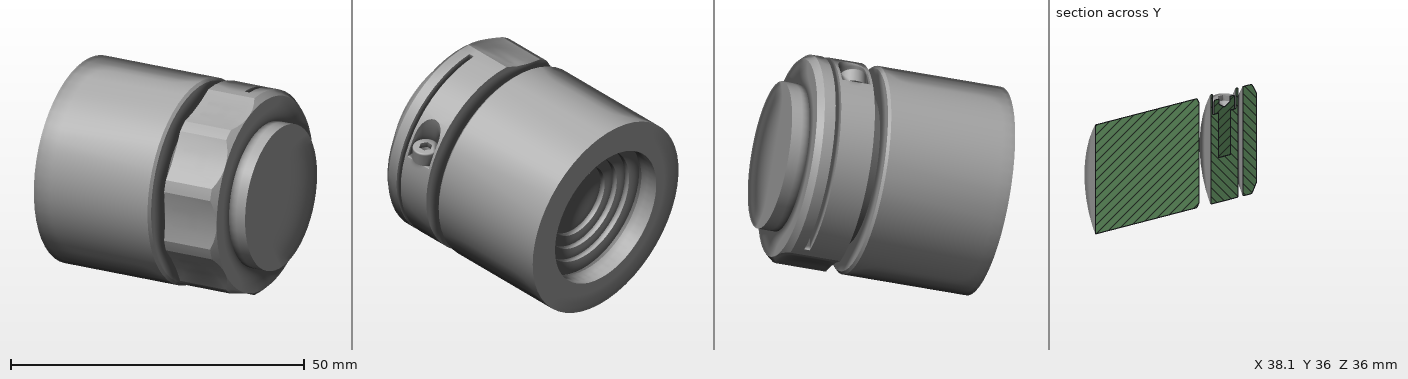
import cadquery as cq
import math


overall_length = 38.1
barrel_radius = 17.998
barrel_length = 22.5
barrel_chamfer = 0.45
neck_radius = 13.0
spigot_radius = 12.72

mouth_radius = 12.5
undercut_radius = 13.0
undercut_start = 3.5
mouth_depth = 4.5
recess_step_width = 1.98
recess_step_depth = 1.0
recess_step_count = 3
centre_point_radius = 0.65
centre_point_height = 0.025

ring_start = 25.0
ring_end = 34.95
ring_radius = barrel_radius
ring_chamfer_length = 1.05
ring_chamfer_depth = 0.9
slit_start = 30.95
slit_width = 1.0

flute_count = 5
flute_pitch_angle = 35.0
flute_half_angle = 14.2
flute_floor_radius = ring_radius - ring_chamfer_depth

screw_x = 27.95
screw_y = 15.0
seat_z = 6.25
head_radius = 2.25
head_height = 2.5
head_fillet = 0.3
shank_radius = 1.25
shank_length = 8.0
socket_across_flats = 2.0
socket_depth = 1.0
socket_tip_depth = 0.7
screw_pocket_radius = 2.5


def disc(start, end, radius):
    """Cylinder along X between two X positions."""
    return cq.Workplane("YZ", origin=(start, 0, 0)).circle(radius).extrude(end - start)


def upright_cylinder(bottom, top, radius):
    """Cylinder on the screw axis between two heights."""
    return cq.Workplane("XY", origin=(screw_x, screw_y, bottom)).circle(radius).extrude(top - bottom)


def make_cone(radius, height):
    """Cone about Z with its base at the origin; a negative height points the apex down."""
    return cq.Workplane("XZ").polyline([(0, 0), (radius, 0), (0, height)]).close().revolve(360, (0, 0), (0, 1))


def make_housing():
    barrel = disc(0, barrel_length, barrel_radius).faces(">X").edges().chamfer(barrel_chamfer)
    neck = disc(barrel_length, ring_start, neck_radius)
    spigot = disc(ring_start, overall_length, spigot_radius)
    body = barrel.union(neck).union(spigot)

    body = body.cut(disc(0, mouth_depth, mouth_radius))
    body = body.cut(disc(undercut_start, mouth_depth, undercut_radius))

    for step in range(1, recess_step_count + 1):
        depth = mouth_depth + step * recess_step_depth
        body = body.cut(disc(0, depth, mouth_radius - step * recess_step_width))

    recess_depth = mouth_depth + recess_step_count * recess_step_depth
    point = make_cone(centre_point_radius, centre_point_height)
    point = point.rotate((0, 0, 0), (0, 1, 0), -90).translate((recess_depth, 0, 0))
    return body.union(point)


def make_flute_cutter():
    """Cylinder through both edges and the floor of the flute that faces -Y."""
    half_chord = ring_radius * math.sin(math.radians(flute_half_angle))
    sag = ring_radius * math.cos(math.radians(flute_half_angle)) - flute_floor_radius
    radius = (half_chord**2 + sag**2) / (2 * sag)
    centre_y = -(flute_floor_radius + radius)
    return (
        cq.Workplane("YZ", origin=(ring_start, 0, 0))
        .center(centre_y, 0)
        .circle(radius)
        .extrude(ring_end - ring_start)
    )


def make_screw_pocket():
    """U-shaped pocket, open upwards and towards +Y, with a hole for the shank below it."""
    pocket = upright_cylinder(seat_z, ring_radius, screw_pocket_radius)
    opening = cq.Workplane("XY").box(
        2 * screw_pocket_radius,
        ring_radius - screw_y,
        ring_radius - seat_z,
        centered=(True, False, False),
    )
    opening = opening.translate((screw_x, screw_y, seat_z))
    shank_hole = upright_cylinder(seat_z - shank_length, seat_z, shank_radius)
    return pocket.union(opening).union(shank_hole)


def make_slit():
    """Slot across the +Y half of the ring, down to the spigot."""
    slit = cq.Workplane("XY").box(slit_width, ring_radius, 2 * ring_radius, centered=(False, False, True))
    return slit.translate((slit_start, 0, 0))


def make_clamp_ring():
    ring = disc(ring_start, ring_end, ring_radius)
    ring = ring.faces(">X").edges().chamfer(ring_chamfer_length, ring_chamfer_depth)
    ring = ring.cut(disc(ring_start, ring_end, spigot_radius))
    flute = make_flute_cutter()
    for index in range(flute_count):
        angle = (index - (flute_count - 1) / 2) * flute_pitch_angle
        ring = ring.cut(flute.rotate((0, 0, 0), (1, 0, 0), angle))
    return ring.cut(make_slit()).cut(make_screw_pocket())


def make_clamp_screw():
    """Cap screw with a hexagon socket that ends in a conical tip."""
    head_top = seat_z + head_height
    head = upright_cylinder(seat_z, head_top, head_radius).faces(">Z").edges().fillet(head_fillet)
    shank = upright_cylinder(seat_z - shank_length, seat_z, shank_radius)
    across_corners = socket_across_flats / math.cos(math.radians(30))
    socket = (
        cq.Workplane("XY", origin=(screw_x, screw_y, head_top))
        .polygon(6, across_corners)
        .extrude(-socket_depth)
    )
    tip = make_cone(across_corners / 2, -socket_tip_depth)
    tip = tip.translate((screw_x, screw_y, head_top - socket_depth))
    return head.union(shank).cut(socket).cut(tip)


housing = make_housing()
clamp_ring = make_clamp_ring()
clamp_screw = make_clamp_screw()

result = cq.Compound.makeCompound([housing.val(), clamp_ring.val(), clamp_screw.val()])